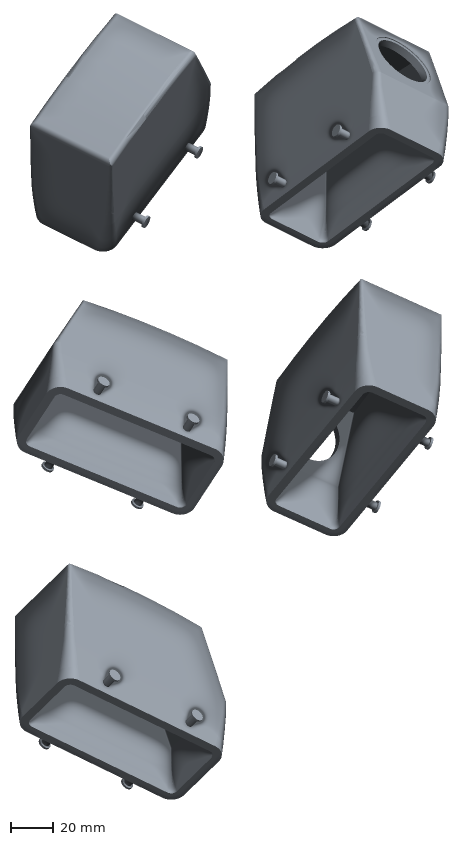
import cadquery as cq
import math

BASE_LENGTH = 93.3
BASE_HALF_WIDTH = 21.6
FULL_HALF_WIDTH = 22.7
END_DRAFT = 0.7
WALL = 4.3

FLARE_TOP = 6.7
CURVE_TOP = 23.5
LOFT_TOP = 84.0

FRONT_CORNERS = (7.65, 6.3, 3.9, 1.4)
REAR_CORNERS = (7.5, 6.1, 3.45, 1.6)
MIN_CORNER = 0.6

SLOPE_START = 31.7
SLOPE_ANGLE = 20.2

CROWN_HEIGHT = 75.7
CROWN_RADIUS = 312.6
CROWN_Y = -6.2
ROOF_ROUND = 2.8
SLOPE_ROUND = 1.5

ENTRY_Y = 38.4
ENTRY_BORE = 28.4
ENTRY_RECESS = 32.0
RECESS_DEPTH = 0.5

PIN_Y = 23.8
PIN_Z = 6.2
PIN_DIAMETER = 4.0
PIN_TIP_X = 29.0
HEAD_DIAMETER = 6.2
HEAD_THICKNESS = 1.1

DRAFT_RATIO = math.tan(math.radians(END_DRAFT))
SLOPE_RATIO = math.tan(math.radians(SLOPE_ANGLE))
SLOPE_COS = math.cos(math.radians(SLOPE_ANGLE))
FLARE_RATIO = (FULL_HALF_WIDTH - BASE_HALF_WIDTH) / ((FLARE_TOP + CURVE_TOP) / 2)


def half_width(z):
    """Half width of the hood: leaning wall, then a curve, then vertical."""
    if z <= FLARE_TOP:
        return BASE_HALF_WIDTH + FLARE_RATIO * z
    remaining = max(CURVE_TOP - z, 0)
    return FULL_HALF_WIDTH - FLARE_RATIO * remaining**2 / (2 * (CURVE_TOP - FLARE_TOP))


def corner_radius(z, corners, inset):
    """Radius falling linearly up to CURVE_TOP, then levelling off along a parabola."""
    rim, flare, curve, crown = corners
    if z <= FLARE_TOP:
        radius = rim + (flare - rim) * z / FLARE_TOP
    elif z <= CURVE_TOP:
        radius = flare + (curve - flare) * (z - FLARE_TOP) / (CURVE_TOP - FLARE_TOP)
    else:
        radius = crown + (curve - crown) * ((CROWN_HEIGHT - z) / (CROWN_HEIGHT - CURVE_TOP)) ** 2
    return max(radius - inset, MIN_CORNER)


def drafted_end(z):
    """Distance of the end walls from the middle at height z."""
    return BASE_LENGTH / 2 - DRAFT_RATIO * z


def slope_y(z):
    """Y of the sloped face at height z."""
    return drafted_end(SLOPE_START) - SLOPE_RATIO * (z - SLOPE_START)


def section(z, inset):
    """Rounded rectangle of the hood at height z, shrunk by inset."""
    front = -drafted_end(z) + inset
    back = min(drafted_end(z) - inset, slope_y(z) - inset / SLOPE_COS)
    outline = cq.Sketch().rect(2 * (half_width(z) - inset), back - front)
    outline = outline.vertices("<Y").fillet(corner_radius(z, FRONT_CORNERS, inset))
    outline = outline.reset().vertices(">Y").fillet(corner_radius(z, REAR_CORNERS, inset))
    return outline.moved(cq.Location(cq.Vector(0, (front + back) / 2, z)))


def loft(heights, inset, ruled=True):
    """Solid through the sections at the given heights."""
    return cq.Workplane().placeSketch(*[section(z, inset) for z in heights]).loft(ruled=ruled)


def drafted_body(inset):
    """Rounded box with flared sides and one sloped end, taller than the roof."""
    kink = SLOPE_START - inset * (1 / SLOPE_COS - 1) / (SLOPE_RATIO - DRAFT_RATIO)
    flare = loft([0, FLARE_TOP], inset)
    curve = loft([FLARE_TOP, (FLARE_TOP + CURVE_TOP) / 2, CURVE_TOP], inset, ruled=False)
    upright = loft([CURVE_TOP, kink], inset)
    sloped = loft([kink, (kink + LOFT_TOP) / 2, LOFT_TOP], inset, ruled=False)
    return flare.union(curve).union(upright).union(sloped).clean()


def crown_drum(half_length, inset):
    """Cylinder about the crown axis, long enough to cover the hood's width."""
    return (
        cq.Workplane("YZ")
        .center(CROWN_Y, CROWN_HEIGHT - CROWN_RADIUS)
        .circle(CROWN_RADIUS - inset)
        .extrude(half_length, both=True)
    )


def end_profile():
    """Side outline of the hood with its front and rear roof edges rounded."""
    outline = [
        (-drafted_end(0), 0),
        (-drafted_end(LOFT_TOP), LOFT_TOP),
        (slope_y(LOFT_TOP), LOFT_TOP),
        (drafted_end(SLOPE_START), SLOPE_START),
        (drafted_end(0), 0),
    ]
    prism = cq.Workplane("YZ").polyline(outline).close().extrude(BASE_LENGTH / 2, both=True)
    prism = prism.intersect(crown_drum(BASE_LENGTH, 0))
    prism = prism.faces(">Z").edges("|X").edges("<Y").fillet(ROOF_ROUND)
    return prism.faces(">Z").edges("|X").edges(">Y").fillet(SLOPE_ROUND)


def hood():
    rounded_drum = crown_drum(FULL_HALF_WIDTH, 0).edges().fillet(ROOF_ROUND)
    outside = drafted_body(0).intersect(end_profile()).intersect(rounded_drum)
    cavity = drafted_body(WALL).intersect(crown_drum(BASE_LENGTH, WALL))
    return outside.cut(cavity)


def cable_entry():
    """Bore through the sloped wall with a shallow recess around its mouth."""
    entry_z = SLOPE_START + (drafted_end(SLOPE_START) - ENTRY_Y) / SLOPE_RATIO
    outward = cq.Vector(0, SLOPE_COS, math.sin(math.radians(SLOPE_ANGLE)))
    face = cq.Plane(origin=(0, ENTRY_Y, entry_z), xDir=(1, 0, 0), normal=outward)
    bore = cq.Workplane(face).circle(ENTRY_BORE / 2).extrude(-2 * WALL)
    recess = cq.Workplane(face).circle(ENTRY_RECESS / 2).extrude(-RECESS_DEPTH)
    return bore.union(recess)


def locking_pin(side, y):
    """Headed pin on the +X (side = 1) or -X (side = -1) wall."""
    root_x = BASE_HALF_WIDTH - WALL / 2
    shaft = cq.Workplane("YZ", origin=(side * root_x, y, PIN_Z)).circle(PIN_DIAMETER / 2)
    shaft = shaft.extrude(side * (PIN_TIP_X - root_x))
    head = cq.Workplane("YZ", origin=(side * PIN_TIP_X, y, PIN_Z)).circle(HEAD_DIAMETER / 2)
    return shaft.union(head.extrude(-side * HEAD_THICKNESS))


result = hood().cut(cable_entry())
for side in (-1, 1):
    for y in (-PIN_Y, PIN_Y):
        result = result.union(locking_pin(side, y))